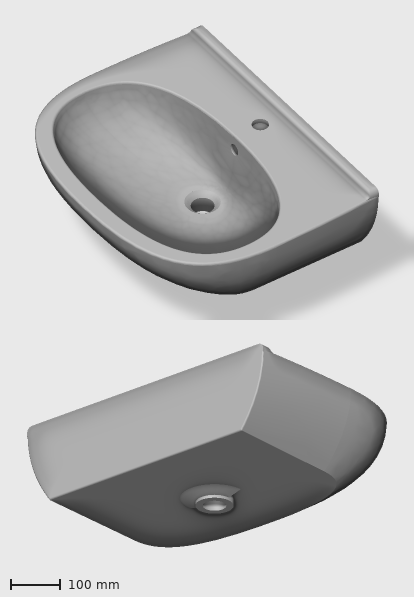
import cadquery as cq
import math

WIDTH = 650.5
LENGTH = 511.0
HEIGHT = 194.0
BODY_DEPTH = 165.0
WALL_HALF_WIDTH = 315.0
WIDEST_Y = -260.0
RIM_FILLET = 5.0
WALL_EDGE_FILLET = 3.0

SIDE_DRAW_IN = 71.5
WALL_DRAW_IN = 58.5
FRONT_DRAW_IN = 135.0
BODY_CURVE_POWER = 2.1
BODY_LEVELS = 6
SIDE_HANDLE = 0.72
FRONT_HANDLE = 0.71

LEDGE_HEIGHT = 13.0
LEDGE_TOP_DEPTH = 13.5
LEDGE_FOOT_DEPTH = 30.5
LEDGE_END_RADIUS = 13.0
LEDGE_EMBED = 6.5

BOWL_HALF_WIDTH = 286.0
BOWL_BACK_Y = -135.0
BOWL_FRONT_Y = -471.0
BOWL_WIDEST_Y = -305.0
BOWL_DEPTH = 135.0
BOWL_HANDLE = 0.68
BOWL_LEVELS = 8
BOWL_DEPTH_POWER = 2.0
BOWL_SLOPE_POWER = 1.5
BOWL_BACK_POWER = 4.0
BOWL_LIP_FILLET = 4.5
CIRCLE_HANDLE = 4 / 3 * (math.sqrt(2) - 1)

DRAIN_Y = -214.5
DRAIN_DIAMETER = 73.5
DRAIN_RADIUS = DRAIN_DIAMETER / 2
DRAIN_SEAT_DEPTH = 10.5
DRAIN_HOLE_DIAMETER = 48.0
STUB_DIAMETER = 77.5
STUB_BOTTOM_Z = LEDGE_HEIGHT - HEIGHT
OUTLET_EMBED = 6.5
FLARE_RADIUS = 70.0
FLARE_HEIGHT = 9.0

TAP_DIAMETER = 35.0
TAP_Y = -72.0
TAP_DEPTH = 11.0
OVERFLOW_DIAMETER = 26.0
OVERFLOW_Z = -36.0
OVERFLOW_END_Y = -131.5


def body_section(fraction):
    """Closed body outline at a fraction of the body depth."""
    shrink = fraction ** BODY_CURVE_POWER
    half = WIDTH / 2 - SIDE_DRAW_IN * shrink
    wall_half = WALL_HALF_WIDTH - WALL_DRAW_IN * shrink
    front = -LENGTH + FRONT_DRAW_IN * shrink
    side_y = WIDEST_Y + (front - WIDEST_Y) * SIDE_HANDLE
    return (
        cq.Workplane("XY", origin=(0, 0, -BODY_DEPTH * fraction))
        .moveTo(-wall_half, 0)
        .bezier([(-wall_half, 0), (-half, WIDEST_Y / 2), (-half, WIDEST_Y)])
        .bezier([(-half, WIDEST_Y), (-half, side_y), (-half * FRONT_HANDLE, front), (0, front)])
        .bezier([(0, front), (half * FRONT_HANDLE, front), (half, side_y), (half, WIDEST_Y)])
        .bezier([(half, WIDEST_Y), (half, WIDEST_Y / 2), (wall_half, 0)])
        .close()
        .val()
    )


def blend(start, end, share):
    """Value that is start at share 1 and end at share 0."""
    return end + (start - end) * share


def bowl_section(fraction):
    """Closed bowl outline, blending from the deck opening to the drain circle."""
    slope = (1 - fraction ** BOWL_DEPTH_POWER) ** (1 / BOWL_SLOPE_POWER)
    back_slope = (1 - fraction ** BOWL_DEPTH_POWER) ** (1 / BOWL_BACK_POWER)
    half = blend(BOWL_HALF_WIDTH, DRAIN_RADIUS, slope)
    mid = blend(BOWL_WIDEST_Y, DRAIN_Y, slope)
    front = blend(BOWL_FRONT_Y, DRAIN_Y - DRAIN_RADIUS, slope)
    back = blend(BOWL_BACK_Y, DRAIN_Y + DRAIN_RADIUS, back_slope)
    handle = blend(BOWL_HANDLE, CIRCLE_HANDLE, slope)
    near = half * handle
    front_y = blend(front, mid, handle)
    back_y = blend(back, mid, handle)
    return (
        cq.Workplane("XY", origin=(0, 0, -BOWL_DEPTH * fraction))
        .moveTo(-half, mid)
        .bezier([(-half, mid), (-half, front_y), (-near, front), (0, front)])
        .bezier([(0, front), (near, front), (half, front_y), (half, mid)])
        .bezier([(half, mid), (half, back_y), (near, back), (0, back)])
        .bezier([(0, back), (-near, back), (-half, back_y), (-half, mid)])
        .close()
        .val()
    )


def make_body():
    wires = [body_section(i / BODY_LEVELS) for i in range(BODY_LEVELS + 1)]
    body = cq.Workplane(cq.Solid.makeLoft(wires))
    body = body.faces(">Z").edges("not >Y").fillet(RIM_FILLET)
    return body.faces(">Y").edges("not >Z").fillet(WALL_EDGE_FILLET)


def make_ledge():
    """Upstand with an S-shaped front running down to the deck and rounded ends."""
    run = LEDGE_FOOT_DEPTH - LEDGE_TOP_DEPTH
    radius = (run ** 2 + LEDGE_HEIGHT ** 2) / (4 * LEDGE_HEIGHT)
    halfway = (-LEDGE_TOP_DEPTH - run / 2, LEDGE_HEIGHT / 2)
    profile = (
        cq.Workplane("YZ", origin=(-WALL_HALF_WIDTH, 0, 0))
        .moveTo(0, -LEDGE_EMBED)
        .lineTo(-LEDGE_FOOT_DEPTH, -LEDGE_EMBED)
        .lineTo(-LEDGE_FOOT_DEPTH, 0)
        .radiusArc(halfway, -radius)
        .radiusArc((-LEDGE_TOP_DEPTH, LEDGE_HEIGHT), radius)
        .lineTo(0, LEDGE_HEIGHT)
        .close()
        .extrude(2 * WALL_HALF_WIDTH)
    )
    ends = (
        cq.Workplane("XY", origin=(0, 0, -LEDGE_EMBED - LEDGE_END_RADIUS))
        .rect(2 * WALL_HALF_WIDTH, 4 * LEDGE_FOOT_DEPTH)
        .extrude(LEDGE_HEIGHT + LEDGE_EMBED + LEDGE_END_RADIUS)
        .edges("|Y and >Z")
        .fillet(LEDGE_END_RADIUS)
    )
    return profile.intersect(ends)


def make_bowl():
    angles = [i * math.pi / 2 / BOWL_LEVELS for i in range(BOWL_LEVELS + 1)]
    return cq.Workplane(cq.Solid.makeLoft([bowl_section(math.sin(angle)) for angle in angles]))


def make_outlet():
    """Outlet stub below the drain, with a flare that fairs its rear half into the underside."""
    stub = (
        cq.Workplane("XY", origin=(0, DRAIN_Y, STUB_BOTTOM_Z))
        .circle(STUB_DIAMETER / 2)
        .extrude(-STUB_BOTTOM_Z - BODY_DEPTH + OUTLET_EMBED)
    )
    flare = (
        cq.Workplane("XZ", origin=(0, DRAIN_Y, 0))
        .moveTo(0, -BODY_DEPTH + OUTLET_EMBED)
        .lineTo(FLARE_RADIUS, -BODY_DEPTH + OUTLET_EMBED)
        .lineTo(FLARE_RADIUS, -BODY_DEPTH)
        .lineTo(STUB_DIAMETER / 2, -BODY_DEPTH - FLARE_HEIGHT)
        .lineTo(0, -BODY_DEPTH - FLARE_HEIGHT)
        .close()
        .revolve(180, (0, 0, 0), (0, 1, 0))
    )
    return stub.union(flare)


def make_drain():
    """Tapered waste seat below the bowl floor and the through hole under it."""
    hole_radius = DRAIN_HOLE_DIAMETER / 2
    seat_bottom = -BOWL_DEPTH - DRAIN_SEAT_DEPTH
    return (
        cq.Workplane("XZ", origin=(0, DRAIN_Y, 0))
        .moveTo(0, -BOWL_DEPTH)
        .lineTo(DRAIN_RADIUS, -BOWL_DEPTH)
        .lineTo(hole_radius, seat_bottom)
        .lineTo(hole_radius, STUB_BOTTOM_Z)
        .lineTo(0, STUB_BOTTOM_Z)
        .close()
        .revolve(360, (0, 0, 0), (0, 1, 0))
    )


def make_tap_hole():
    return cq.Workplane("XY", origin=(0, TAP_Y, -TAP_DEPTH)).circle(TAP_DIAMETER / 2).extrude(2 * TAP_DEPTH)


def make_overflow():
    """Blind hole entering the back wall of the bowl."""
    return (
        cq.Workplane("XZ", origin=(0, OVERFLOW_END_Y, OVERFLOW_Z))
        .circle(OVERFLOW_DIAMETER / 2)
        .extrude(OVERFLOW_END_Y - DRAIN_Y)
    )


def make_basin():
    """Body hollowed by the bowl, with the lip of the opening rounded."""
    basin = make_body().cut(make_bowl())
    opening = basin.faces(">Z").val().innerWires()[0]
    return basin.newObject(opening.Edges()).fillet(BOWL_LIP_FILLET)


result = make_basin().union(make_ledge()).union(make_outlet())
for cutter in (make_drain(), make_tap_hole(), make_overflow()):
    result = result.cut(cutter)